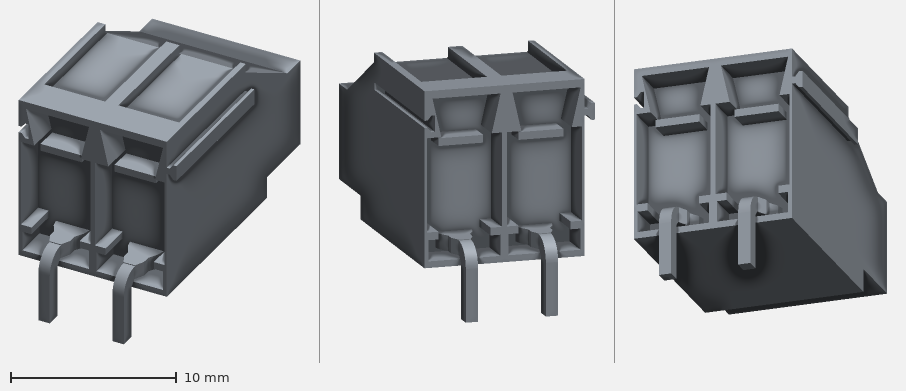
import cadquery as cq


overall_length = 18.57
overall_height = 14.2

pole_count = 2
pitch = 5.07
pole_centers = [(i - (pole_count - 1) / 2) * pitch for i in range(pole_count)]

housing_width = pole_count * pitch
housing_length = 17.08
housing_height = 11.01
step_y = 12.81
step_height = 1.49
ledge_y = 10.1
slope_top_z = 10.4
slope_end_y = 15.43
rear_top_z = 7.43

cell_depth = 2.2
cell_floor_z = 0.4
cell_half_width = 2.38
lower_half_width = 2.28
rib_half_gap = 1.65
rib_bottom_z = 1.73
rib_top_z = 2.21
funnel_offset = 0.13
funnel_bottom_z = 8.08
funnel_top_z = 10.51
funnel_bottom_half_width = 1.6
funnel_top_half_width = 2.15

pocket_width = 4.16
pocket_offset = 0.07
pocket_start_y = 2.3
pocket_depth = 0.75

rail_length = 9.97
rail_center_z = 8.95
rail_depth = 0.67
rail_neck_depth = 0.2
rail_flare_depth = 0.45
rail_neck_half_height = 0.22
rail_head_half_height = 0.52

tab_width = 2.82
tab_thickness = 0.48
tab_bottom_z = 7.35
tab_length = 1.49

leg_drop = overall_height - housing_height
pin_reach = overall_length - housing_length
root_thickness = 0.97
root_top_z = 1.63
root_bottom_z = root_top_z - root_thickness
leg_width = 0.78
leg_thickness = 0.97
bend_start_y = -0.05
bend_top_z = 1.58
bend_outer_radius = pin_reach + bend_start_y
bend_inner_chamfer = 0.35
root_steps = [
    (1.15, cell_depth),
    (1.04, 1.69),
    (0.69, 1.1),
    (0.69, 0.55),
    (leg_width / 2, bend_start_y),
]


def extrude_back(outline, length):
    """Extrude an (x, z) outline from the front face toward +Y."""
    return cq.Workplane("XZ").polyline(outline).close().extrude(-length)


def make_block():
    """Plain housing body from its side outline."""
    outline = [
        (0, 0),
        (step_y, 0),
        (step_y, step_height),
        (housing_length, step_height),
        (housing_length, rear_top_z),
        (slope_end_y, rear_top_z),
        (ledge_y, slope_top_z),
        (ledge_y, housing_height),
        (0, housing_height),
    ]
    return cq.Workplane("YZ").polyline(outline).close().extrude(housing_width / 2, both=True)


def make_cell(center_x):
    """Cell cavity: lower channel, gap between two ribs, main chamber and flared funnel."""
    funnel_x = center_x + funnel_offset
    right_side = [
        (center_x + lower_half_width, cell_floor_z),
        (center_x + lower_half_width, rib_bottom_z),
        (center_x + rib_half_gap, rib_bottom_z),
        (center_x + rib_half_gap, rib_top_z),
        (center_x + cell_half_width, rib_top_z),
        (center_x + cell_half_width, funnel_bottom_z),
        (funnel_x + funnel_bottom_half_width, funnel_bottom_z),
        (funnel_x + funnel_top_half_width, funnel_top_z),
    ]
    left_side = [
        (funnel_x - funnel_top_half_width, funnel_top_z),
        (funnel_x - funnel_bottom_half_width, funnel_bottom_z),
        (center_x - cell_half_width, funnel_bottom_z),
        (center_x - cell_half_width, rib_top_z),
        (center_x - rib_half_gap, rib_top_z),
        (center_x - rib_half_gap, rib_bottom_z),
        (center_x - lower_half_width, rib_bottom_z),
        (center_x - lower_half_width, cell_floor_z),
    ]
    return extrude_back(right_side + left_side, cell_depth)


def make_pocket(center_x):
    """Cutter for the shallow top pocket, which runs out over the sloped rear face."""
    return cq.Workplane("XY").box(
        pocket_width, housing_length - pocket_start_y, pocket_depth, centered=(True, False, False)
    ).translate((center_x + pocket_offset, pocket_start_y, housing_height - pocket_depth))


def make_rail(side_x):
    """Rail with a narrow neck and a flared head, rooted at side_x and pointing to +X."""
    upper_half = [
        (0, rail_neck_half_height),
        (rail_neck_depth, rail_neck_half_height),
        (rail_flare_depth, rail_head_half_height),
        (rail_depth, rail_head_half_height),
    ]
    lower_half = [(x, -z) for x, z in reversed(upper_half)]
    outline = [(side_x + x, rail_center_z + z) for x, z in upper_half + lower_half]
    return extrude_back(outline, rail_length)


def make_housing():
    housing = make_block()
    for center_x in pole_centers:
        housing = housing.cut(make_cell(center_x)).cut(make_pocket(center_x))
    housing = housing.cut(make_rail(-housing_width / 2))
    return housing.union(make_rail(housing_width / 2))


def make_tab(center_x):
    """Flat tab standing out from the back wall of its cell."""
    return cq.Workplane("XY").box(
        tab_width, tab_length, tab_thickness, centered=(True, False, False)
    ).translate((center_x, cell_depth - tab_length, tab_bottom_z))


def make_pin_root(center_x):
    """Flat, stepped root of the pin."""
    right_side = [(center_x + half_width, y) for half_width, y in root_steps]
    left_side = [(center_x - half_width, y) for half_width, y in reversed(root_steps)]
    return (
        cq.Workplane("XY", origin=(0, 0, root_bottom_z))
        .polyline(right_side + left_side).close()
        .extrude(root_thickness)
    )


def make_pin_leg(center_x):
    """Bend with a round outside and a chamfered inside, and the straight leg below it."""
    bend_end_z = bend_top_z - bend_outer_radius
    outer_y = -pin_reach
    inner_y = outer_y + leg_thickness
    return (
        cq.Workplane("YZ", origin=(center_x, 0, 0))
        .moveTo(bend_start_y, bend_top_z)
        .radiusArc((outer_y, bend_end_z), -bend_outer_radius)
        .lineTo(outer_y, -leg_drop)
        .lineTo(inner_y, -leg_drop)
        .lineTo(inner_y, root_bottom_z - bend_inner_chamfer)
        .lineTo(inner_y + bend_inner_chamfer, root_bottom_z)
        .lineTo(bend_start_y, root_bottom_z)
        .close()
        .extrude(leg_width / 2, both=True)
    )


def make_pin(center_x):
    return make_pin_root(center_x).union(make_pin_leg(center_x))


housing = make_housing()
tabs = [make_tab(center_x).val() for center_x in pole_centers]
pins = [make_pin(center_x).val() for center_x in pole_centers]

result = cq.Compound.makeCompound([housing.val(), *tabs, *pins])